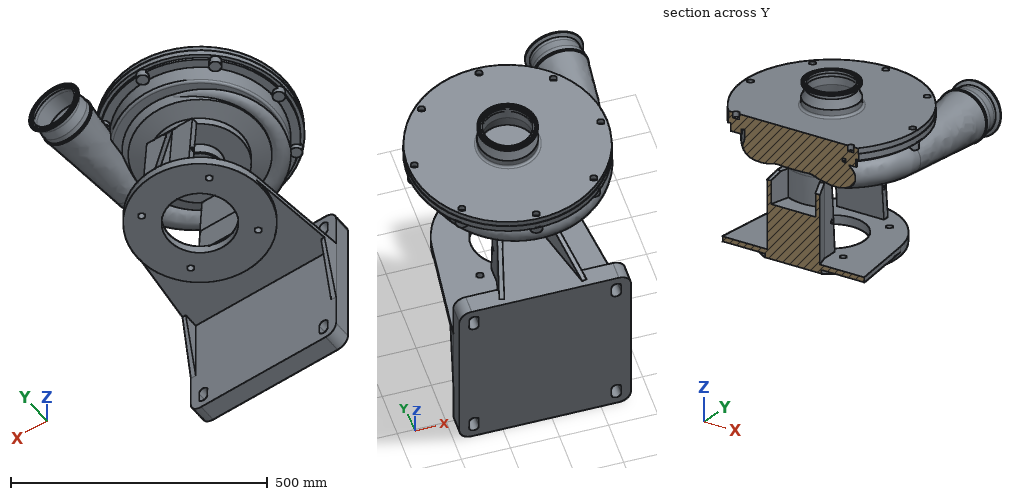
import cadquery as cq
import math


OVERALL_WIDTH = 434.41

PLATE_WIDTH = 350
PLATE_HEIGHT = 370
PLATE_THICKNESS = 40
PLATE_BACK_Y = -250
PLATE_FRONT_Y = PLATE_BACK_Y + PLATE_THICKNESS
PLATE_CORNER_RADIUS = 25
SLOT_LENGTH = 37
SLOT_WIDTH = 20
SLOT_SPACING_X = 290
SLOT_SPACING_Z = 300

SHELF_TOP_Z = 270
SHELF_THICKNESS = 12
MOTOR_RING_RADIUS = 150
MOTOR_RING_THICKNESS = 20
MOTOR_BORE_DIAMETER = 150
MOTOR_BOLT_CIRCLE = 230
MOTOR_BOLT_HOLE = 14
MOTOR_BOLT_COUNT = 4
GUSSET_THICKNESS = 12
GUSSET_REACH = 33
GUSSET_FOOT_Z = 106

LEG_TOP_Z = 433
LEG_HALF_WIDTH = 55
FRONT_LEG_OUTER_Y = -108
FRONT_LEG_INNER_TOP_Y = -82
FRONT_LEG_INNER_FOOT_Y = -71
REAR_LEG_INNER_TOP_Y = 87
REAR_LEG_INNER_FOOT_Y = 101
REAR_LEG_THICKNESS = 14
REAR_RIB_TOP_Y = 100
REAR_RIB_FOOT_Y = 143
REAR_RIB_THICKNESS = 14
FRONT_RIB_THICKNESS = 10
FRONT_RIB_ANGLE = 15
FRONT_RIB_END_Y = -235
LEG_HOLE_DIAMETER = 8
LEG_HOLE_Z = 339
LEG_HOLE_YS = (101, -81)

LID_RADIUS = 203
RIM_RADIUS = 204
LID_TOP_Z = 545
LID_BOTTOM_Z = 533
RIM_BOTTOM_Z = 519
NECK_RADIUS = 196
NECK_BOTTOM_Z = 513
BODY_RADIUS = 177
BODY_BOTTOM_Z = 471
BODY_EDGE_RADIUS = 5
BACK_TOP_RADIUS = 152
BACK_BOTTOM_RADIUS = 140
BACK_EDGE_Z = 459
BACK_BOTTOM_Z = 450
MOUNT_DISC_RADIUS = 100
HUB_RADIUS = 48.5
HUB_BOTTOM_Z = 407
HUB_CHAMFER = 2

LID_BOLT_CIRCLE = 380
LID_BOLT_COUNT = 8
LID_HOLE_DIAMETER = 14
BOLT_HEAD_DIAMETER = 25
BOLT_HEAD_BOTTOM_Z = 502

FLANGE_RADIUS = 59.5
FLANGE_THICKNESS = 3
FLANGE_TAPER_END = 7
GASKET_GROOVE_OUTER_RADIUS = 56.5
GASKET_GROOVE_INNER_RADIUS = 53.5
GASKET_GROOVE_DEPTH = 1.5
NECK_PIPE_RADIUS = 51.5
NECK_PIPE_END = 14
PIPE_BORE_RADIUS = 49.5
FLARE_END = 33
INLET_END_Z = 595
INLET_ROOT_RADIUS = 60
INLET_FILLET = 5
INLET_STRAIGHT_BORE = 30
INLET_FLOOR_RADIUS = 58
OUTLET_ROOT_RADIUS = 55
OUTLET_X = OVERALL_WIDTH - RIM_RADIUS - FLANGE_RADIUS
OUTLET_Z = 482.5
OUTLET_END_Y = 250
OUTLET_FITTING_LENGTH = 49
OUTLET_CONE_END_RADIUS = 56
OUTLET_BEAD_RADIUS = 57
OUTLET_BEAD_WIDTH = 4

VOLUTE_START_ANGLE = 90
VOLUTE_SWEEP = 270
VOLUTE_SECTIONS = 10
VOLUTE_Z = 478
VOLUTE_START_CENTRE = 138
VOLUTE_END_CENTRE = 172
VOLUTE_START_RADIUS = 12
VOLUTE_END_RADIUS = 36


def cylinder(radius, bottom_z, top_z):
    return cq.Workplane("XY").workplane(offset=bottom_z).circle(radius).extrude(top_z - bottom_z)


def side_profile(points, x_start, width):
    """Extrude an outline of (y, z) points along +X."""
    return cq.Workplane("YZ").workplane(offset=x_start).polyline(points).close().extrude(width)


def wall_plate():
    plate = (
        cq.Workplane("XY")
        .box(PLATE_WIDTH, PLATE_THICKNESS, PLATE_HEIGHT, centered=(True, False, False))
        .translate((0, PLATE_BACK_Y, 0))
        .edges("|Y")
        .fillet(PLATE_CORNER_RADIUS)
    )
    slots = (
        cq.Workplane("XZ", origin=(0, PLATE_FRONT_Y, PLATE_HEIGHT / 2))
        .rarray(SLOT_SPACING_X, SLOT_SPACING_Z, 2, 2)
        .slot2D(SLOT_LENGTH, SLOT_WIDTH, 90)
        .extrude(PLATE_THICKNESS)
    )
    return plate.cut(slots)


def shelf_tangent_point():
    """Point on the +X side of the motor ring where the straight shelf edge leaves it."""
    corner_x = PLATE_WIDTH / 2
    corner_distance = math.hypot(corner_x, PLATE_FRONT_Y)
    angle = math.atan2(PLATE_FRONT_Y, corner_x) + math.acos(MOTOR_RING_RADIUS / corner_distance)
    return MOTOR_RING_RADIUS * math.cos(angle), MOTOR_RING_RADIUS * math.sin(angle)


def shelf_outline(bottom_z):
    corner_x = PLATE_WIDTH / 2
    tangent_x, tangent_y = shelf_tangent_point()
    return (
        cq.Workplane("XY")
        .workplane(offset=bottom_z)
        .moveTo(-corner_x, PLATE_FRONT_Y)
        .lineTo(corner_x, PLATE_FRONT_Y)
        .lineTo(tangent_x, tangent_y)
        .threePointArc((0, MOTOR_RING_RADIUS), (-tangent_x, tangent_y))
        .close()
    )


def motor_shelf():
    shelf = shelf_outline(SHELF_TOP_Z - SHELF_THICKNESS).extrude(SHELF_THICKNESS)
    shelf = shelf.union(cylinder(MOTOR_RING_RADIUS, SHELF_TOP_Z - MOTOR_RING_THICKNESS, SHELF_TOP_Z))
    holes = (
        cq.Workplane("XY")
        .workplane(offset=SHELF_TOP_Z)
        .polarArray(MOTOR_BOLT_CIRCLE / 2, 180 / MOTOR_BOLT_COUNT, 360, MOTOR_BOLT_COUNT)
        .circle(MOTOR_BOLT_HOLE / 2)
        .extrude(-MOTOR_RING_THICKNESS)
    )
    bore = cylinder(MOTOR_BORE_DIAMETER / 2, SHELF_TOP_Z - MOTOR_RING_THICKNESS, SHELF_TOP_Z)
    return shelf.cut(holes).cut(bore)


def shelf_gussets():
    """Triangular webs under both side edges of the shelf, trimmed to the shelf outline."""
    profile = [
        (PLATE_FRONT_Y, GUSSET_FOOT_Z),
        (PLATE_FRONT_Y, SHELF_TOP_Z),
        (PLATE_FRONT_Y + GUSSET_REACH, SHELF_TOP_Z),
        (PLATE_FRONT_Y + GUSSET_REACH, SHELF_TOP_Z - SHELF_THICKNESS),
    ]
    web = side_profile(profile, -PLATE_WIDTH / 2, PLATE_WIDTH)
    gap_width = PLATE_WIDTH - 2 * GUSSET_THICKNESS
    inner_gap = side_profile(profile, -gap_width / 2, gap_width)
    trim = shelf_outline(0).extrude(SHELF_TOP_Z)
    return web.cut(inner_gap).intersect(trim)


def front_leg():
    """Leg next to the wall plate: it continues the mount disc and has a flat cheek on each side."""
    height = LEG_TOP_Z - SHELF_TOP_Z
    width = 2 * LEG_HALF_WIDTH
    column = cylinder(MOUNT_DISC_RADIUS, SHELF_TOP_Z, LEG_TOP_Z)
    cheek_depth = -FRONT_LEG_OUTER_Y
    cheek = (
        cq.Workplane("XY")
        .box(FRONT_RIB_THICKNESS, cheek_depth, height, centered=False)
        .translate((LEG_HALF_WIDTH - FRONT_RIB_THICKNESS, FRONT_LEG_OUTER_Y, SHELF_TOP_Z))
    )
    profile = [
        (FRONT_LEG_OUTER_Y, SHELF_TOP_Z),
        (FRONT_LEG_OUTER_Y, LEG_TOP_Z),
        (FRONT_LEG_INNER_TOP_Y, LEG_TOP_Z),
        (FRONT_LEG_INNER_FOOT_Y, SHELF_TOP_Z),
    ]
    envelope = side_profile(profile, -LEG_HALF_WIDTH, width)
    return column.union(cheek).union(cheek.mirror("YZ")).intersect(envelope)


def front_ribs():
    """Sloping ribs that splay from the front leg to the top of the wall plate."""
    slant = math.cos(math.radians(FRONT_RIB_ANGLE))
    length = (FRONT_LEG_OUTER_Y - FRONT_RIB_END_Y) / slant
    root = (FRONT_LEG_INNER_TOP_Y - FRONT_LEG_OUTER_Y) / slant
    profile = [
        (root, SHELF_TOP_Z),
        (root, LEG_TOP_Z),
        (0, LEG_TOP_Z),
        (-length, PLATE_HEIGHT),
        (-length, SHELF_TOP_Z),
    ]
    rib = (
        side_profile(profile, -FRONT_RIB_THICKNESS, FRONT_RIB_THICKNESS)
        .rotate((0, 0, 0), (0, 0, 1), FRONT_RIB_ANGLE)
        .translate((LEG_HALF_WIDTH, FRONT_LEG_OUTER_Y, 0))
    )
    return rib.union(rib.mirror("YZ"))


def rib_infill():
    """Block between the front ribs, level with the top of the wall plate."""
    spread = math.tan(math.radians(FRONT_RIB_ANGLE))
    rib_middle_x = LEG_HALF_WIDTH - FRONT_RIB_THICKNESS / 2
    leg_x = rib_middle_x - (FRONT_LEG_INNER_TOP_Y - FRONT_LEG_OUTER_Y) * spread
    plate_x = rib_middle_x + (FRONT_LEG_OUTER_Y - PLATE_FRONT_Y) * spread
    return (
        cq.Workplane("XY")
        .workplane(offset=SHELF_TOP_Z)
        .moveTo(-plate_x, PLATE_FRONT_Y)
        .lineTo(plate_x, PLATE_FRONT_Y)
        .lineTo(leg_x, FRONT_LEG_INNER_TOP_Y)
        .lineTo(-leg_x, FRONT_LEG_INNER_TOP_Y)
        .close()
        .extrude(PLATE_HEIGHT - SHELF_TOP_Z)
    )


def rear_leg():
    """Leaning flat leg with a tapered rib down the middle of its outer face."""
    inner_edge = [(REAR_LEG_INNER_FOOT_Y, SHELF_TOP_Z), (REAR_LEG_INNER_TOP_Y, LEG_TOP_Z)]
    outer_edge = [
        (REAR_LEG_INNER_TOP_Y + REAR_LEG_THICKNESS, LEG_TOP_Z),
        (REAR_LEG_INNER_FOOT_Y + REAR_LEG_THICKNESS, SHELF_TOP_Z),
    ]
    rib_edge = [(REAR_RIB_TOP_Y, LEG_TOP_Z), (REAR_RIB_FOOT_Y, SHELF_TOP_Z)]
    leg = side_profile(inner_edge + outer_edge, -LEG_HALF_WIDTH, 2 * LEG_HALF_WIDTH)
    rib = side_profile(inner_edge + rib_edge, -REAR_RIB_THICKNESS / 2, REAR_RIB_THICKNESS)
    return leg.union(rib)


def leg_holes():
    return (
        cq.Workplane("YZ")
        .workplane(offset=-LEG_HALF_WIDTH)
        .pushPoints([(y, LEG_HOLE_Z) for y in LEG_HOLE_YS])
        .circle(LEG_HOLE_DIAMETER / 2)
        .extrude(2 * LEG_HALF_WIDTH)
    )


def casing_body():
    lid = cylinder(LID_RADIUS, LID_BOTTOM_Z, LID_TOP_Z)
    rim = cylinder(RIM_RADIUS, RIM_BOTTOM_Z, LID_BOTTOM_Z)
    neck = cylinder(NECK_RADIUS, NECK_BOTTOM_Z, RIM_BOTTOM_Z)
    body = cylinder(BODY_RADIUS, BODY_BOTTOM_Z, NECK_BOTTOM_Z).faces("<Z").edges().fillet(BODY_EDGE_RADIUS)
    back = (
        cq.Workplane("XZ")
        .moveTo(0, BODY_BOTTOM_Z)
        .lineTo(BACK_TOP_RADIUS, BODY_BOTTOM_Z)
        .lineTo(BACK_BOTTOM_RADIUS, BACK_EDGE_Z)
        .lineTo(MOUNT_DISC_RADIUS, BACK_BOTTOM_Z)
        .lineTo(0, BACK_BOTTOM_Z)
        .close()
        .revolve(360, (0, 0, 0), (0, 1, 0))
    )
    mount_disc = cylinder(MOUNT_DISC_RADIUS, LEG_TOP_Z, BODY_BOTTOM_Z)
    hub = cylinder(HUB_RADIUS, HUB_BOTTOM_Z, LEG_TOP_Z).faces("<Z").chamfer(HUB_CHAMFER)
    return lid.union(rim).union(neck).union(body).union(back).union(mount_disc).union(hub)


def volute():
    sections = []
    for index in range(VOLUTE_SECTIONS):
        progress = index / (VOLUTE_SECTIONS - 1)
        angle = math.radians(VOLUTE_START_ANGLE + VOLUTE_SWEEP * progress)
        centre = VOLUTE_START_CENTRE + (VOLUTE_END_CENTRE - VOLUTE_START_CENTRE) * progress
        radius = VOLUTE_START_RADIUS + (VOLUTE_END_RADIUS - VOLUTE_START_RADIUS) * progress
        position = cq.Vector(centre * math.cos(angle), centre * math.sin(angle), VOLUTE_Z)
        along = cq.Vector(-math.sin(angle), math.cos(angle), 0)
        plane = cq.Plane(origin=position, xDir=(0, 0, 1), normal=along)
        sections.append(cq.Workplane(plane).circle(radius).wires().val())
    return cq.Workplane(cq.Solid.makeLoft(sections))


def outlet_cone():
    cone_end_y = OUTLET_END_Y - OUTLET_FITTING_LENGTH
    start_plane = cq.Plane(origin=(VOLUTE_END_CENTRE, 0, VOLUTE_Z), xDir=(0, 0, 1), normal=(0, 1, 0))
    end_plane = cq.Plane(origin=(OUTLET_X, cone_end_y, OUTLET_Z), xDir=(0, 0, 1), normal=(0, 1, 0))
    start = cq.Workplane(start_plane).circle(VOLUTE_END_RADIUS).wires().val()
    end = cq.Workplane(end_plane).circle(OUTLET_CONE_END_RADIUS).wires().val()
    cone = cq.Workplane(cq.Solid.makeLoft([start, end], True))
    bead = cq.Workplane(end_plane).circle(OUTLET_BEAD_RADIUS).extrude(OUTLET_BEAD_WIDTH)
    return cone.union(bead)


def fitting_outside(root_radius, length):
    """Clamp flange and flared pipe along Z, open end at Z = 0, running down to -length."""
    gasket_groove = cylinder(GASKET_GROOVE_OUTER_RADIUS, -GASKET_GROOVE_DEPTH, 0).cut(
        cylinder(GASKET_GROOVE_INNER_RADIUS, -GASKET_GROOVE_DEPTH, 0)
    )
    fitting = (
        cq.Workplane("XZ")
        .lineTo(FLANGE_RADIUS, 0)
        .lineTo(FLANGE_RADIUS, -FLANGE_THICKNESS)
        .lineTo(NECK_PIPE_RADIUS, -FLANGE_TAPER_END)
        .lineTo(NECK_PIPE_RADIUS, -NECK_PIPE_END)
        .lineTo(root_radius, -FLARE_END)
        .lineTo(root_radius, -length)
        .lineTo(0, -length)
        .close()
        .revolve(360, (0, 0, 0), (0, 1, 0))
    )
    return fitting.cut(gasket_groove)


def inlet_bore():
    """Blind inlet passage down to the casing rim, straight and then widening towards the floor."""
    depth = INLET_END_Z - LID_BOTTOM_Z
    return (
        cq.Workplane("XZ")
        .lineTo(PIPE_BORE_RADIUS, 0)
        .lineTo(PIPE_BORE_RADIUS, -INLET_STRAIGHT_BORE)
        .lineTo(INLET_FLOOR_RADIUS, -depth)
        .lineTo(0, -depth)
        .close()
        .revolve(360, (0, 0, 0), (0, 1, 0))
    )


def outlet_bore():
    return cylinder(PIPE_BORE_RADIUS, -OUTLET_FITTING_LENGTH, 0)


def inlet_fillet():
    """Concave ring blending the inlet pipe into the lid."""
    outer_radius = INLET_ROOT_RADIUS + INLET_FILLET
    top_z = LID_TOP_Z + INLET_FILLET
    sag = INLET_FILLET * (1 - math.sqrt(0.5))
    return (
        cq.Workplane("XZ")
        .moveTo(0, LID_TOP_Z)
        .lineTo(outer_radius, LID_TOP_Z)
        .threePointArc((INLET_ROOT_RADIUS + sag, LID_TOP_Z + sag), (INLET_ROOT_RADIUS, top_z))
        .lineTo(0, top_z)
        .close()
        .revolve(360, (0, 0, 0), (0, 1, 0))
    )


def place_inlet(fitting):
    return fitting.translate((0, 0, INLET_END_Z))


def place_outlet(fitting):
    return fitting.rotate((0, 0, 0), (1, 0, 0), -90).translate((OUTLET_X, OUTLET_END_Y, OUTLET_Z))


def lid_bolt_pattern(diameter, bottom_z, top_z):
    return (
        cq.Workplane("XY")
        .workplane(offset=bottom_z)
        .polarArray(LID_BOLT_CIRCLE / 2, 0, 360, LID_BOLT_COUNT)
        .circle(diameter / 2)
        .extrude(top_z - bottom_z)
    )


def pump():
    inlet_length = INLET_END_Z - LID_TOP_Z
    body = casing_body().union(volute()).union(outlet_cone())
    body = body.union(place_inlet(fitting_outside(INLET_ROOT_RADIUS, inlet_length))).union(inlet_fillet())
    body = body.union(place_outlet(fitting_outside(OUTLET_ROOT_RADIUS, OUTLET_FITTING_LENGTH)))
    body = body.union(lid_bolt_pattern(BOLT_HEAD_DIAMETER, BOLT_HEAD_BOTTOM_Z, RIM_BOTTOM_Z))
    body = body.cut(lid_bolt_pattern(LID_HOLE_DIAMETER, LID_BOTTOM_Z, LID_TOP_Z))
    body = body.cut(place_inlet(inlet_bore()))
    return body.cut(place_outlet(outlet_bore()))


def bracket():
    legs = front_leg().union(front_ribs()).union(rib_infill()).union(rear_leg()).cut(leg_holes())
    return wall_plate().union(motor_shelf()).union(shelf_gussets()).union(legs)


result = bracket().union(pump())